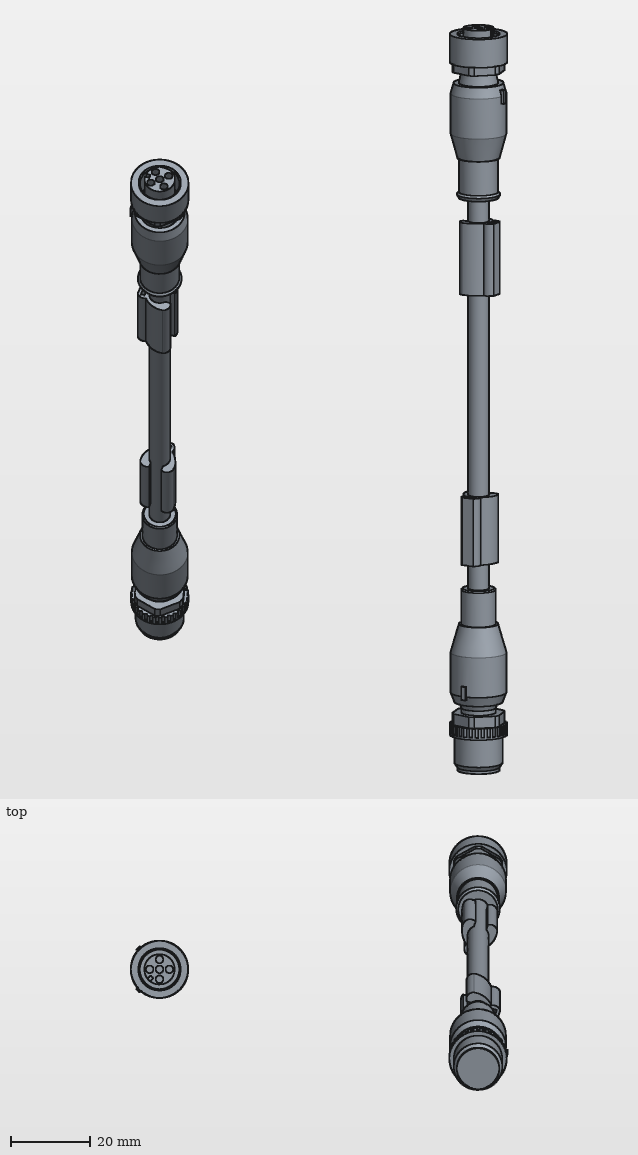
import cadquery as cq
import math

total_length = 191.0
nut_r = 7.3
body_r = 7.0
cable_r = 2.7

hex_flats = 12.2
hex_corner_r = 6.7

insert_r = 3.8
nut_top_z = 189.5
nut_bottom_z = 182.2
socket_hex_bottom_z = 180.0
socket_shoulder_top_z = 176.9
socket_barrel_top_z = 174.2
socket_barrel_bottom_z = 163.9
socket_taper_bottom_z = 157.5
socket_bead_top_z = 148.8
socket_bead_z = 148.2
socket_tail_bottom_z = 147.3
socket_sleeve_r = 5.0
socket_taper_end_r = 5.3
socket_bead_r = 5.5
socket_shoulder_r = 6.3

neck_collar_r = 4.4
neck_shoulder_r = 5.0

nut_bore_r = 5.0
nut_bore_depth = 7.6
nut_bore_chamfer = 0.4

contact_r = 1.0
contact_circle_r = 2.5
contact_depth = 5.7
key_width = 1.0
key_depth = 1.1

plug_tail_top_z = 46.8
plug_tail_chamfer = 0.4
plug_sleeve_r = 4.4
plug_taper_start_r = 5.0
plug_shoulder_r = 6.1
plug_sleeve_bottom_z = 37.6
plug_barrel_top_z = 30.4
plug_barrel_bottom_z = 20.0
plug_shoulder_bottom_z = 17.5
plug_neck_taper_end_z = 16.0
plug_hex_top_z = 14.9
knurl_top_z = 12.0
knurl_bottom_z = 9.2
thread_r = 6.1
thread_bottom_z = 2.0
plug_tip_r = 5.3
plug_tip_top_z = 0.8

knurl_rim = 0.5
knurl_count = 30
knurl_groove_r = 0.4

mark_width = 1.1
mark_length = 3.5
mark_height = 0.5
socket_mark_z = 174.0
plug_mark_z = 21.0
socket_mark_angle = 225
plug_mark_angle = 135

clip_body_half_width = 4.4
clip_body_end = -2.3
clip_flank_point = (0.5, 4.0)
clip_crease = (2.9, 2.3)
clip_nose_r = 2.5
clip_nose_centre = 3.5
clip_nose_flat = 5.3
label_slot_width = 3.0
label_slot_depth = 1.0
label_slot_middle = 4.0
clip_lip_point = (-3.2, 3.8)
clip_lip = -3.5
clip_gap = 3.2
upper_clip_bottom_z = 122.8
upper_clip_length = 18.5
lower_clip_bottom_z = 53.5
lower_clip_length = 17.4
upper_clip_angle = 225
lower_clip_angle = 135


def revolve_profile(points):
    """Solid of revolution about Z from (radius, height) points, closed along the axis."""
    (_, first_z), (_, last_z) = points[0], points[-1]
    outline = [(0, first_z)] + points + [(0, last_z)]
    return cq.Workplane("XZ").polyline(outline).close().revolve(360, (0, 0, 0), (0, 1, 0))


def cylinder(radius, bottom_z, top_z):
    return cq.Workplane("XY").workplane(offset=bottom_z).circle(radius).extrude(top_z - bottom_z)


def hex_collar(bottom_z, top_z):
    """Hexagon with flats facing +X and -X, its corners turned to a circle."""
    across_corners = hex_flats / math.cos(math.radians(30))
    hexagon = (
        cq.Workplane("XY")
        .workplane(offset=bottom_z)
        .transformed(rotate=(0, 0, 30))
        .polygon(6, across_corners)
        .extrude(top_z - bottom_z)
    )
    return hexagon.intersect(cylinder(hex_corner_r, bottom_z, top_z))


def position_mark(middle_z, angle):
    """Small raised bar on a connector body."""
    reach = body_r + mark_height
    bar = cq.Workplane("XY").box(reach, mark_width, mark_length, centered=(False, True, True))
    return bar.rotate((0, 0, 0), (0, 0, 1), angle).translate((0, 0, middle_z))


def socket_body():
    """Moulded grip: neck, shoulder, barrel, taper, sleeve and end bead."""
    return revolve_profile([
        (neck_collar_r, socket_hex_bottom_z),
        (neck_shoulder_r, socket_shoulder_top_z),
        (socket_shoulder_r, socket_shoulder_top_z),
        (body_r, socket_barrel_top_z),
        (body_r, socket_barrel_bottom_z),
        (socket_taper_end_r, socket_taper_bottom_z),
        (socket_sleeve_r, socket_taper_bottom_z),
        (socket_sleeve_r, socket_bead_top_z),
        (socket_bead_r, socket_bead_z),
        (socket_sleeve_r, socket_tail_bottom_z),
    ])


def socket_nut():
    """Coupling nut with a chamfered bore around the contact insert."""
    nut = cylinder(nut_r, nut_bottom_z, nut_top_z)
    bore = cylinder(nut_bore_r, nut_top_z - nut_bore_depth, nut_top_z)
    lead_in = revolve_profile([
        (nut_bore_r, nut_top_z - nut_bore_chamfer),
        (nut_bore_r + nut_bore_chamfer, nut_top_z),
    ])
    return nut.cut(bore).cut(lead_in)


def contact_insert():
    """Round insert with five contact holes and a keyway facing the position mark."""
    insert = cylinder(insert_r, nut_bottom_z, total_length)
    holes = (
        cq.Workplane("XY")
        .workplane(offset=total_length - contact_depth)
        .polarArray(contact_circle_r, 0, 360, 4)
        .circle(contact_r)
        .extrude(contact_depth)
    )
    centre_hole = cylinder(contact_r, total_length - contact_depth, total_length)
    keyway = (
        cq.Workplane("XY")
        .box(key_depth, key_width, contact_depth, centered=(False, True, False))
        .translate((insert_r - key_depth, 0, total_length - contact_depth))
        .rotate((0, 0, 0), (0, 0, 1), socket_mark_angle)
    )
    return insert.cut(holes).cut(centre_hole).cut(keyway)


def plug_body():
    """Moulded grip: sleeve, taper, barrel, lower shoulder and neck."""
    return revolve_profile([
        (plug_sleeve_r - plug_tail_chamfer, plug_tail_top_z),
        (plug_sleeve_r, plug_tail_top_z - plug_tail_chamfer),
        (plug_sleeve_r, plug_sleeve_bottom_z),
        (plug_taper_start_r, plug_sleeve_bottom_z),
        (body_r, plug_barrel_top_z),
        (body_r, plug_barrel_bottom_z),
        (plug_shoulder_r, plug_shoulder_bottom_z),
        (neck_shoulder_r, plug_shoulder_bottom_z),
        (neck_collar_r, plug_neck_taper_end_z),
        (neck_collar_r, plug_hex_top_z),
    ])


def plug_thread():
    """Threaded shell, kept smooth, with a stepped lead-in at its free end."""
    return revolve_profile([
        (thread_r, knurl_bottom_z),
        (thread_r, thread_bottom_z),
        (plug_tip_r, plug_tip_top_z),
        (plug_tip_r, 0),
    ])


def knurled_ring():
    """Ring with grooves running from its top face down to a plain rim."""
    ring = cylinder(nut_r, knurl_bottom_z, knurl_top_z)
    grooves = (
        cq.Workplane("XY")
        .workplane(offset=knurl_bottom_z + knurl_rim)
        .polarArray(nut_r, 180 / knurl_count, 360, knurl_count)
        .circle(knurl_groove_r)
        .extrude(knurl_top_z - knurl_bottom_z - knurl_rim)
    )
    return ring.cut(grooves)


def clip_half(side, length):
    """Half of a clip, nose toward +X; side is 1 for the +Y half and -1 for the -Y half."""
    flat_half_width = math.sqrt(clip_nose_r**2 - (clip_nose_flat - clip_nose_centre) ** 2)

    def at(x, y):
        return (x, side * y)

    return (
        cq.Workplane("XY")
        .moveTo(clip_lip, 0)
        .lineTo(*at(clip_lip, clip_gap / 2))
        .threePointArc(at(*clip_lip_point), at(clip_body_end, clip_body_half_width))
        .threePointArc(at(*clip_flank_point), at(*clip_crease))
        .threePointArc(at(clip_nose_centre, clip_nose_r), at(clip_nose_flat, flat_half_width))
        .lineTo(clip_nose_flat, 0)
        .close()
        .extrude(length)
    )


def marker_clip(bottom_z, length, nose_angle):
    """Snap-on clip: a flattened round nose on one side, a gap between two lips on the other.

    A label slot runs through the nose, beside the cable.
    """
    clip = clip_half(1, length).union(clip_half(-1, length))
    gap = cq.Workplane("XY").box(-clip_lip, clip_gap, length, centered=(False, True, False))
    label_slot = cq.Workplane("XY").box(
        label_slot_depth, label_slot_width, length, centered=(True, True, False)
    )
    clip = clip.cut(gap.translate((clip_lip, 0, 0)))
    clip = clip.cut(label_slot.translate((label_slot_middle, 0, 0)))
    return clip.rotate((0, 0, 0), (0, 0, 1), nose_angle).translate((0, 0, bottom_z))


features = [
    cylinder(cable_r, plug_tail_top_z, socket_tail_bottom_z),
    marker_clip(upper_clip_bottom_z, upper_clip_length, upper_clip_angle),
    marker_clip(lower_clip_bottom_z, lower_clip_length, lower_clip_angle),
    socket_body(),
    position_mark(socket_mark_z, socket_mark_angle),
    hex_collar(socket_hex_bottom_z, nut_bottom_z),
    socket_nut(),
    contact_insert(),
    plug_body(),
    position_mark(plug_mark_z, plug_mark_angle),
    hex_collar(knurl_top_z, plug_hex_top_z),
    knurled_ring(),
    plug_thread(),
]

result = features[0]
for feature in features[1:]:
    result = result.union(feature)